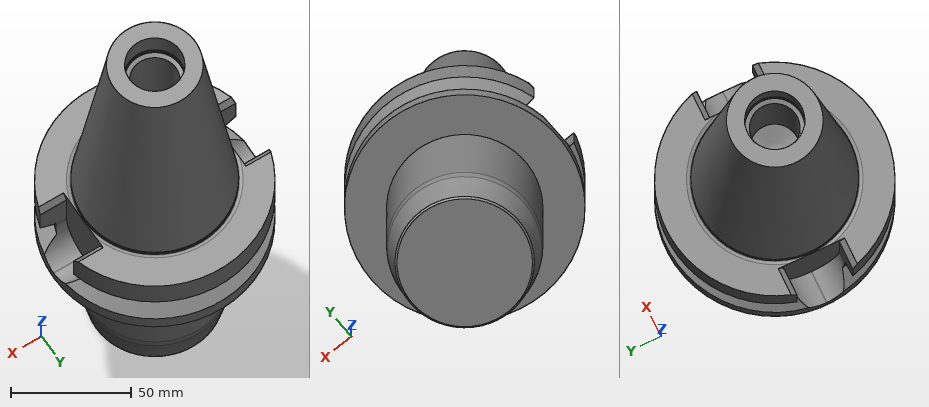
import cadquery as cq
import math

gauge_diameter = 69.85
taper_ratio = 7 / 24
taper_length = 101.8

relief_diameter = 69.25
relief_top_z = -0.5
relief_bottom_z = -1.05
recess_outer_diameter = 73.4
recess_inner_diameter = 70.5
recess_slope_angle = 15.0

flange_diameter = 100.0
flange_top_z = -1.5
flange_bottom_z = -38.0
groove_center_z = -23.27
groove_floor_diameter = 85.2
groove_floor_width = 6.65
groove_flank_angle = 30.0

slot_width = 25.7
slot_bottom_flat = 0.2
slot_bottom_z = -33.7
slot_floor_x = 35.3
slot_mouth_chamfer = 2.4
slot_cut_clearance = 1.0

body_diameter = 65.0
body_straight_end_z = -85.2
nose_bottom_z = -106.0
nose_angle = 11.2
nose_blend_length = 4.2
nose_end_chamfer = 0.8

pilot_diameter = 25.02
pilot_depth = 11.0
undercut_diameter = 25.47
undercut_length = 1.6
lower_pilot_length = 0.5
thread_hole_diameter = 21.0
thread_hole_depth = 50.0
drill_tip_angle = 140.0


def make_turned_body():
    """Revolve the outside of the holder about Z."""
    body_radius = body_diameter / 2
    flange_radius = flange_diameter / 2
    floor_radius = groove_floor_diameter / 2
    relief_radius = relief_diameter / 2
    gauge_radius = gauge_diameter / 2
    recess_outer_radius = recess_outer_diameter / 2
    recess_inner_radius = recess_inner_diameter / 2
    recess_drop = (recess_outer_radius - recess_inner_radius) * math.tan(math.radians(recess_slope_angle))
    recess_floor_z = flange_top_z - recess_drop
    taper_end_radius = (gauge_diameter - taper_ratio * taper_length) / 2

    floor_half = groove_floor_width / 2
    flank_drop = (flange_radius - floor_radius) * math.tan(math.radians(groove_flank_angle))
    mouth_half = floor_half + flank_drop

    angle = math.radians(nose_angle)
    blend_radius = nose_blend_length / math.sin(angle)
    blend_end_radius = body_radius - blend_radius * (1 - math.cos(angle))
    blend_end_z = body_straight_end_z - nose_blend_length
    blend_mid = (
        body_radius - blend_radius * (1 - math.cos(angle / 2)),
        body_straight_end_z - blend_radius * math.sin(angle / 2),
    )
    chamfer_z = nose_bottom_z + nose_end_chamfer
    nose_radius = blend_end_radius - (blend_end_z - chamfer_z) * math.tan(angle)

    profile = (
        cq.Workplane("XZ")
        .moveTo(0, nose_bottom_z)
        .lineTo(nose_radius - nose_end_chamfer, nose_bottom_z)
        .lineTo(nose_radius, chamfer_z)
        .lineTo(blend_end_radius, blend_end_z)
        .threePointArc(blend_mid, (body_radius, body_straight_end_z))
        .lineTo(body_radius, flange_bottom_z)
        .lineTo(flange_radius, flange_bottom_z)
        .lineTo(flange_radius, groove_center_z - mouth_half)
        .lineTo(floor_radius, groove_center_z - floor_half)
        .lineTo(floor_radius, groove_center_z + floor_half)
        .lineTo(flange_radius, groove_center_z + mouth_half)
        .lineTo(flange_radius, flange_top_z)
        .lineTo(recess_outer_radius, flange_top_z)
        .lineTo(recess_inner_radius, recess_floor_z)
        .lineTo(gauge_radius, recess_floor_z)
        .lineTo(gauge_radius, relief_bottom_z)
        .lineTo(relief_radius, relief_bottom_z)
        .lineTo(relief_radius, relief_top_z)
        .lineTo(gauge_radius, relief_top_z)
        .lineTo(gauge_radius, 0)
        .lineTo(taper_end_radius, taper_length)
        .lineTo(0, taper_length)
        .close()
    )
    return profile.revolve(360, (0, 0, 0), (0, 1, 0))


def make_drive_slot(side):
    """Cutter for one drive slot; side is -1 or +1 along X."""
    half_width = slot_width / 2
    mouth_half = half_width + slot_mouth_chamfer
    flat_half = slot_bottom_flat / 2
    corner_radius = half_width - flat_half
    arc_top_z = slot_bottom_z + corner_radius
    corner_reach = corner_radius * math.sin(math.radians(45))
    arc_mid_y = flat_half + corner_reach
    arc_mid_z = arc_top_z - corner_reach
    chamfer_z = flange_top_z - slot_mouth_chamfer
    cut_length = flange_diameter / 2 - slot_floor_x + slot_cut_clearance

    outline = (
        cq.Workplane("YZ")
        .workplane(offset=side * slot_floor_x)
        .moveTo(-flat_half, slot_bottom_z)
        .lineTo(flat_half, slot_bottom_z)
        .threePointArc((arc_mid_y, arc_mid_z), (half_width, arc_top_z))
        .lineTo(half_width, chamfer_z)
        .lineTo(mouth_half, flange_top_z)
        .lineTo(mouth_half, 0)
        .lineTo(-mouth_half, 0)
        .lineTo(-mouth_half, flange_top_z)
        .lineTo(-half_width, chamfer_z)
        .lineTo(-half_width, arc_top_z)
        .threePointArc((-arc_mid_y, arc_mid_z), (-flat_half, slot_bottom_z))
        .close()
    )
    return outline.extrude(side * cut_length)


def make_stud_bore():
    """Cutter for the pilot bore, undercut and drilled thread hole."""
    pilot_radius = pilot_diameter / 2
    hole_radius = thread_hole_diameter / 2
    undercut_radius = undercut_diameter / 2
    pilot_end_z = taper_length - pilot_depth
    undercut_end_z = pilot_end_z - undercut_length
    tip_slope = 1 / math.tan(math.radians(drill_tip_angle / 2))
    pilot_floor_z = undercut_end_z - lower_pilot_length
    pilot_floor_drop = (pilot_radius - hole_radius) * tip_slope
    hole_end_z = taper_length - thread_hole_depth
    tip_drop = hole_radius * tip_slope

    profile = (
        cq.Workplane("XZ")
        .moveTo(0, taper_length)
        .lineTo(pilot_radius, taper_length)
        .lineTo(pilot_radius, pilot_end_z)
        .lineTo(undercut_radius, pilot_end_z)
        .lineTo(undercut_radius, undercut_end_z)
        .lineTo(pilot_radius, undercut_end_z)
        .lineTo(pilot_radius, pilot_floor_z)
        .lineTo(hole_radius, pilot_floor_z - pilot_floor_drop)
        .lineTo(hole_radius, hole_end_z)
        .lineTo(0, hole_end_z - tip_drop)
        .close()
    )
    return profile.revolve(360, (0, 0, 0), (0, 1, 0))


result = make_turned_body()
for slot_side in (-1, 1):
    result = result.cut(make_drive_slot(slot_side))
result = result.cut(make_stud_bore())